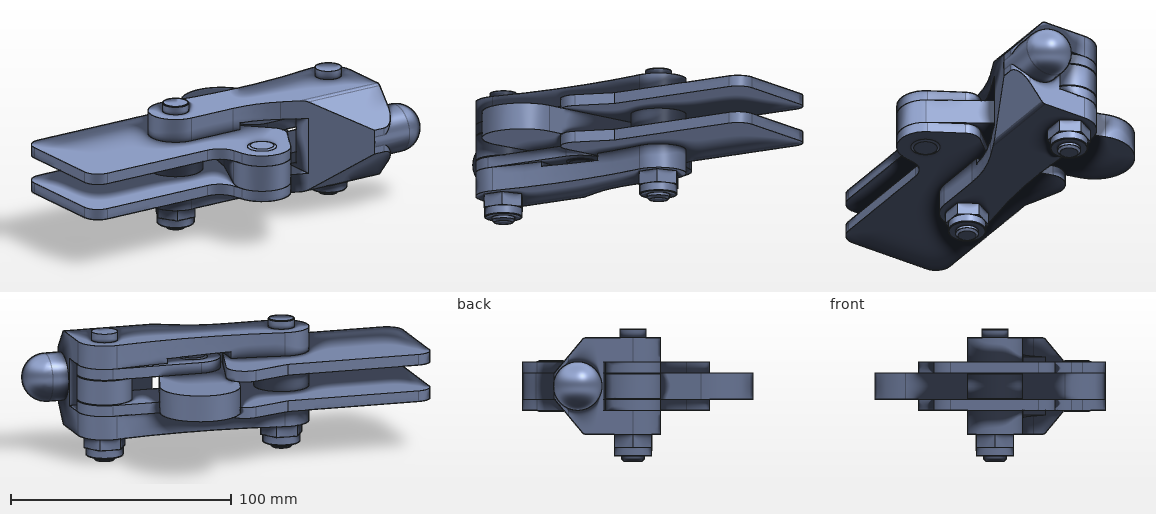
import cadquery as cq
import math


arm_thickness = 12.0
plate_thickness = 5.0
handle_leg_thickness = 11.0
spacer_gap = 0.45
arm_top = arm_thickness / 2
plate_top = arm_top + plate_thickness
handle_top = plate_top + handle_leg_thickness

handle_pivot = (0, 0)
link_pivot = (0, 84.1)
arm_pivot = (0, link_pivot[1] / 2)
base_pivot = (37.0, 22.0)

eye_radius = 12.5
base_eye_radius = 13.0

base_left = -27.7
base_right = 27.2
base_bottom = -63.9
base_corner = 7.5
base_lug_centre = (-26.3, 25.8)
base_lug_radius = 8.5
base_lug_waist = (base_left, 5.5)
base_knob_centre = (24.7, 35.3)
base_notch = (4.5, 26.7)
base_neck_y = -1.0
base_neck_radius = 9.5

arm_tip_centre = (-36.2, 50.1)
arm_tip_radius = 18.3
arm_upper_bend = (8.2, 55.5)
arm_lower_bend = (10.0, 19.9)

handle_waist = 9
handle_corner_centre_x = 29.4
handle_corner = 6.5
handle_shoulder_y = 84.8
handle_neck_radius = 53.7
handle_neck_y = 23.1
handle_crease_x = 21.3
handle_crease_radius = 2.1
handle_side_x = 35.8
handle_side_half_height = 5.7
handle_cavity_side = 13.2
recess_bottom = 26.8
recess_top = 57.3
recess_shallow_depth = 2.1
recess_deep_depth = 3.2
grip_x = 25
grip_radius = plate_top
grip_end = 115.1
grip_start = handle_shoulder_y

bolt_radius = 6.0
bolt_protrusion = 4.0
bolt_edge = 0.4
spacer_radius = eye_radius
nut_flats = 17.0
nut_sides = 6
nut_height = 5.9
nut_collar_height = 4.0
nut_collar_edge = 0.4
thread_radius = 5.2
thread_length = 2.3
thread_chamfer = 1.0

pin_radius = 5.0
rivet_base_radius = 6.6
rivet_tip_radius = 5.4
rivet_height = 0.5


shortest_run = 1.79e-06


def belt_outline(rollers):
    """Closed outline of straight runs and arcs, like a belt laid round a list of rollers.

    Each roller is (centre, radius), in counterclockwise order.  A negative radius
    makes a hollow arc and a zero radius makes a sharp corner.
    """
    runs = []
    for (start, start_radius), (end, end_radius) in zip(rollers, rollers[1:] + rollers[:1]):
        dx = end[0] - start[0]
        dy = end[1] - start[1]
        tilt = (end_radius - start_radius) / math.hypot(dx, dy)
        heading = math.atan2(dy, dx) - math.asin(max(-1, min(1, tilt)))
        runs.append(heading - math.pi / 2)

    def on_roller(roller, angle):
        (x, y), radius = roller
        return cq.Vector(x + radius * math.cos(angle), y + radius * math.sin(angle))

    edges = []
    for index, roller in enumerate(rollers):
        arrive = runs[index - 1]
        leave = runs[index]
        if roller[1] != 0:
            sweep = (leave - arrive) % (2 * math.pi)
            if roller[1] < 0:
                sweep -= 2 * math.pi
            edges.append(
                cq.Edge.makeThreePointArc(
                    on_roller(roller, arrive),
                    on_roller(roller, arrive + sweep / 2),
                    on_roller(roller, leave),
                )
            )
        next_roller = rollers[(index + 1) % len(rollers)]
        run_start = on_roller(roller, leave)
        run_end = on_roller(next_roller, leave)
        if (run_end - run_start).Length > shortest_run:
            edges.append(cq.Edge.makeLine(run_start, run_end))
    return cq.Wire.assembleEdges(edges)


def slab(outline, bottom, top):
    """Flat plate with the given outline between two heights."""
    solid = cq.Solid.extrudeLinear(outline, [], cq.Vector(0, 0, top - bottom))
    return cq.Workplane(obj=solid.moved(cq.Location(cq.Vector(0, 0, bottom))))


def plate_pair(outline):
    """Two equal plates, one on each side of the arm."""
    upper = slab(outline, arm_top, plate_top)
    return upper.union(slab(outline, -plate_top, -arm_top))


def cylinder(centre, radius, bottom, top):
    """Upright cylinder between two heights."""
    return cq.Workplane("XY", origin=(*centre, bottom)).circle(radius).extrude(top - bottom)


def riveted_pin(centre):
    """Pin through both plates, with a low conical head at each end."""
    half_profile = [
        (0, 0),
        (pin_radius, 0),
        (pin_radius, plate_top),
        (rivet_base_radius, plate_top),
        (rivet_tip_radius, plate_top + rivet_height),
        (0, plate_top + rivet_height),
    ]
    upper = cq.Workplane("XZ").polyline(half_profile).close().revolve(360, (0, 0), (0, 1))
    return upper.union(upper.mirror("XY")).translate((*centre, 0))


def pivot_bolt(centre, edge):
    """Bolt through the handle with a spacer inside and a collared nut below."""
    spacer_top = arm_top - spacer_gap
    head_top = handle_top + bolt_protrusion
    nut_bottom = -handle_top - nut_height
    collar_bottom = nut_bottom - nut_collar_height
    thread_end = collar_bottom - thread_length

    shank = cylinder(centre, bolt_radius, -handle_top, head_top)
    if edge > 0:
        shank = shank.faces(">Z").chamfer(edge)
    spacer = cylinder(centre, spacer_radius, -spacer_top, spacer_top)
    half_side_angle = 180 / nut_sides
    nut = (
        cq.Workplane("XY", origin=(*centre, nut_bottom))
        .polygon(nut_sides, nut_flats / math.cos(math.radians(half_side_angle)))
        .extrude(nut_height)
        .rotate((*centre, 0), (*centre, 1), half_side_angle)
    )
    collar = cylinder(centre, nut_flats / 2, collar_bottom, nut_bottom)
    collar = collar.faces("<Z").chamfer(nut_collar_edge)
    thread = cylinder(centre, thread_radius, thread_end, collar_bottom)
    thread = thread.faces("<Z").chamfer(thread_chamfer)
    return shank.union(spacer).union(nut).union(collar).union(thread)


def make_base():
    """Two mounting plates joined by the handle bolt and the arm's base pin."""
    outline = belt_outline([
        ((base_left + base_corner, base_bottom + base_corner), base_corner),
        ((base_right - base_corner, base_bottom + base_corner), base_corner),
        ((base_right + base_neck_radius, base_neck_y), -base_neck_radius),
        (base_pivot, base_eye_radius),
        (base_knob_centre, base_corner),
        (base_notch, 0),
        (base_lug_centre, base_lug_radius),
        (base_lug_waist, 0),
    ])
    plates = plate_pair(outline)
    return plates.union(pivot_bolt(handle_pivot, bolt_edge)).union(riveted_pin(base_pivot))


def make_arm():
    """Bent clamping arm, pierced by the base pin and the link pin."""
    outline = belt_outline([
        (arm_tip_centre, arm_tip_radius),
        (arm_lower_bend, 0),
        (base_pivot, base_eye_radius),
        (arm_upper_bend, 0),
    ])
    arm = slab(outline, -arm_top, arm_top)
    for pivot in (base_pivot, arm_pivot):
        arm = arm.cut(cylinder(pivot, pin_radius, -arm_top, arm_top))
    return arm


def make_link():
    """Two straight links joined by the link bolt and the arm pin."""
    outline = belt_outline([
        (arm_pivot, eye_radius),
        (link_pivot, eye_radius),
    ])
    plates = plate_pair(outline)
    return plates.union(pivot_bolt(link_pivot, 0)).union(riveted_pin(arm_pivot))


def handle_blank():
    """Full-height handle shape, with its grip side sloping in from both faces."""
    waist_y = link_pivot[1] / 2
    hollow_radius = (waist_y**2 + handle_waist**2 - eye_radius**2) / (
        2 * (eye_radius - handle_waist)
    )
    outline = belt_outline([
        (handle_pivot, eye_radius),
        ((eye_radius + handle_neck_radius, handle_neck_y), -handle_neck_radius),
        ((handle_side_x, handle_shoulder_y), 0),
        (
            (handle_corner_centre_x, link_pivot[1] + eye_radius - handle_corner),
            handle_corner,
        ),
        (link_pivot, eye_radius),
        ((-handle_waist - hollow_radius, waist_y), -hollow_radius),
    ])
    blank = slab(outline, -handle_top, handle_top)

    crease_z = handle_top - handle_crease_radius
    section = belt_outline([
        ((-eye_radius, -handle_top), 0),
        ((handle_crease_x, -crease_z), handle_crease_radius),
        ((handle_side_x, -handle_side_half_height), 0),
        ((handle_side_x, handle_side_half_height), 0),
        ((handle_crease_x, crease_z), handle_crease_radius),
        ((-eye_radius, handle_top), 0),
    ])
    length = link_pivot[1] + 2 * eye_radius
    prism = slab(section, 0, length).rotate((0, 0, 0), (1, 0, 0), 90)
    return blank.intersect(prism.translate((0, length - eye_radius, 0)))


def handle_cavity():
    """Space between the legs for the plates and the arm, with relief for the pin heads."""
    left = -2 * eye_radius
    right = grip_x + 2 * grip_radius
    bottom = -2 * eye_radius
    top = link_pivot[1] + 2 * eye_radius

    channel = cq.Workplane("XY").box(
        handle_cavity_side - left, top - bottom, 2 * plate_top, centered=False
    ).translate((left, bottom, -plate_top))
    throat = cq.Workplane("XY").box(
        right - left, recess_top - bottom, 2 * plate_top, centered=False
    ).translate((left, bottom, -plate_top))
    shallow = plate_top + recess_shallow_depth
    deep = plate_top + recess_deep_depth
    recess = (
        cq.Workplane("YZ", origin=(left, 0, 0))
        .polyline([
            (recess_bottom, -deep),
            (recess_top, -shallow),
            (recess_top, shallow),
            (recess_bottom, deep),
        ])
        .close()
        .extrude(right - left)
    )
    return channel.union(throat).union(recess)


def make_handle():
    """Forked handle with a round-ended grip, pierced by both bolts."""
    grip_dome_y = grip_end - grip_radius
    grip = (
        cq.Workplane("XZ", origin=(grip_x, grip_dome_y, 0))
        .circle(grip_radius)
        .extrude(grip_dome_y - grip_start)
    )
    dome = cq.Workplane("XY", origin=(grip_x, grip_dome_y, 0)).sphere(grip_radius)
    handle = handle_blank().cut(handle_cavity()).union(grip.union(dome))
    for pivot in (handle_pivot, link_pivot):
        handle = handle.cut(cylinder(pivot, bolt_radius, -handle_top, handle_top))
    return handle


base = make_base()
arm = make_arm()
link = make_link()
handle = make_handle()

result = cq.Compound.makeCompound([body.solids().val() for body in (base, arm, link, handle)])